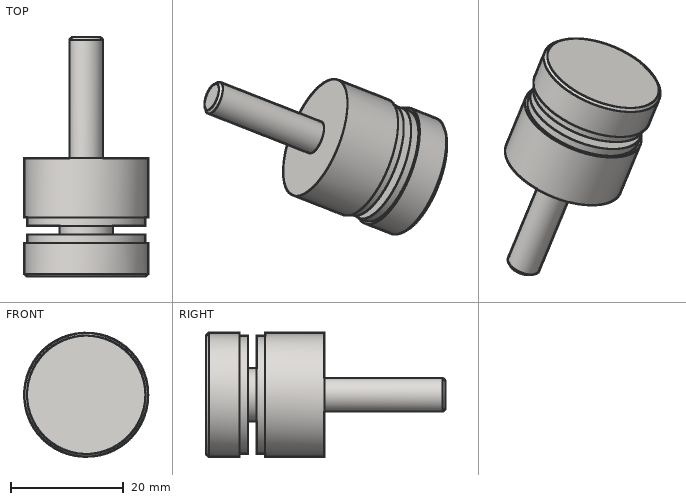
import cadquery as cq

total_length = 42.5
body_diameter = 22.0
gasket_diameter = 21.0
neck_diameter = 9.5
stud_diameter = 6.0

cap_thickness = 6.0
gasket_thickness = 1.5
panel_gap = 1.55
housing_length = 10.5
edge_chamfer = 0.5
stud_chamfer = 0.5

front_gasket_y = cap_thickness
rear_gasket_y = front_gasket_y + gasket_thickness + panel_gap
housing_y = rear_gasket_y + gasket_thickness
stud_y = housing_y + housing_length


def cylinder(diameter, start_y, length):
    """Solid cylinder on the Y axis, running toward +Y from start_y."""
    plane = cq.Plane(origin=(0, start_y, 0), xDir=(1, 0, 0), normal=(0, 1, 0))
    return cq.Workplane(plane).circle(diameter / 2).extrude(length)


def make_cap():
    """Chamfered disc with the neck that reaches through both gaskets to the housing."""
    disc = cylinder(body_diameter, 0, cap_thickness).faces("<Y").edges().chamfer(edge_chamfer)
    neck = cylinder(neck_diameter, cap_thickness, housing_y - cap_thickness)
    return disc.union(neck)


def make_gasket(start_y):
    """Flat ring that fits around the neck."""
    bore = cylinder(neck_diameter, start_y, gasket_thickness)
    return cylinder(gasket_diameter, start_y, gasket_thickness).cut(bore)


def make_housing():
    """Plain cylindrical spacer between the rear gasket and the stud."""
    return cylinder(body_diameter, housing_y, housing_length)


def make_stud():
    """Mounting stud, chamfered at its free end."""
    stud = cylinder(stud_diameter, stud_y, total_length - stud_y)
    return stud.faces(">Y").edges().chamfer(stud_chamfer)


cap = make_cap()
gaskets = [make_gasket(start_y) for start_y in (front_gasket_y, rear_gasket_y)]
housing = make_housing()
stud = make_stud()

result = cq.Compound.makeCompound(
    [cap.val(), *[gasket.val() for gasket in gaskets], housing.val(), stud.val()]
)